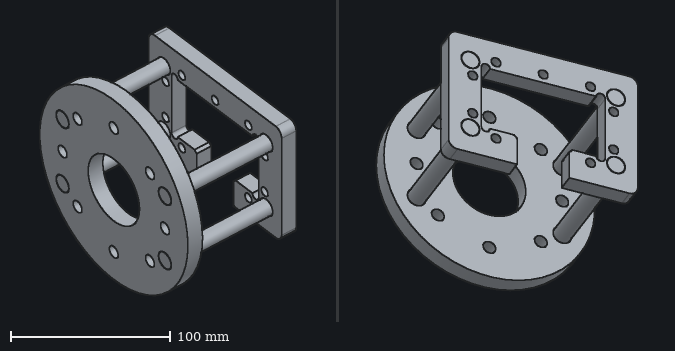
import cadquery as cq
import math

DISC_DIAMETER = 145.0
PLATE_THICKNESS = 12.0
OVERALL_DEPTH = 95.0
FRAME_FRONT_Y = OVERALL_DEPTH - PLATE_THICKNESS

ROD_DIAMETER = 12.0
ROD_HOLE_DIAMETER = 12.6
ROD_X = 50.0
ROD_Z = 26.0
ROD_CENTERS = [(x, z) for x in (-ROD_X, ROD_X) for z in (-ROD_Z, ROD_Z)]

BORE_DIAMETER = 50.0
BOLT_HOLE_DIAMETER = 8.5
BOLT_HOLE_COUNT = 8
BOLT_CIRCLE_RADIUS = 50.0

FRAME_WIDTH = 130.0
FRAME_HEIGHT = 90.0
FRAME_CORNER_RADIUS = 6.0
WINDOW_WIDTH = 85.0
WINDOW_HEIGHT = 46.0
RELIEF_DIAMETER = 6.0
GAP_WIDTH = 36.0
GAP_CHAMFER = 2.0
FRAME_HOLE_DIAMETER = 6.5
RAIL_HOLE_X = 32.5
RAIL_HOLE_Z = 29.3
POST_HOLE_X = 48.5
POST_HOLE_Z = 14.5


def plane_at(y):
    """Sketch plane facing -Y, whose local axes are world X and Z."""
    return cq.Workplane(cq.Plane(origin=(0, y, 0), xDir=(1, 0, 0), normal=(0, -1, 0)))


def cylinders(centers, diameter, y, length):
    """Cylinders that start at y and run along +Y."""
    return plane_at(y).pushPoints(centers).circle(diameter / 2).extrude(-length)


def block(width, height, y, length, z=0.0):
    """Rectangular block centred on X = 0 that runs along +Y."""
    return plane_at(y).center(0, z).rect(width, height).extrude(-length)


def make_disc():
    bolt_centers = []
    for i in range(BOLT_HOLE_COUNT):
        angle = 2 * math.pi * i / BOLT_HOLE_COUNT
        bolt_centers.append((BOLT_CIRCLE_RADIUS * math.cos(angle), BOLT_CIRCLE_RADIUS * math.sin(angle)))
    disc = cylinders([(0, 0)], DISC_DIAMETER, 0, PLATE_THICKNESS)
    disc = disc.cut(cylinders([(0, 0)], BORE_DIAMETER, 0, PLATE_THICKNESS))
    disc = disc.cut(cylinders(bolt_centers, BOLT_HOLE_DIAMETER, 0, PLATE_THICKNESS))
    return disc.cut(cylinders(ROD_CENTERS, ROD_HOLE_DIAMETER, 0, PLATE_THICKNESS))


def make_frame():
    frame = block(FRAME_WIDTH, FRAME_HEIGHT, FRAME_FRONT_Y, PLATE_THICKNESS)
    frame = frame.edges("|Y").fillet(FRAME_CORNER_RADIUS)

    frame = frame.cut(block(WINDOW_WIDTH, WINDOW_HEIGHT, FRAME_FRONT_Y, PLATE_THICKNESS))
    relief_x = (WINDOW_WIDTH - RELIEF_DIAMETER) / 2
    relief_z = WINDOW_HEIGHT / 2
    reliefs = [(x, z) for x in (-relief_x, relief_x) for z in (-relief_z, relief_z)]
    frame = frame.cut(cylinders(reliefs, RELIEF_DIAMETER, FRAME_FRONT_Y, PLATE_THICKNESS))

    gap_height = FRAME_HEIGHT / 2
    frame = frame.cut(block(GAP_WIDTH, gap_height, FRAME_FRONT_Y, PLATE_THICKNESS, -gap_height / 2))

    for side in (-1, 1):
        corner = (side * GAP_WIDTH / 2, FRAME_FRONT_Y + PLATE_THICKNESS / 2, -WINDOW_HEIGHT / 2)
        frame = frame.edges(cq.selectors.NearestToPointSelector(corner)).chamfer(GAP_CHAMFER)

    holes = [(0, RAIL_HOLE_Z)]
    for side in (-1, 1):
        for level in (-1, 1):
            holes.append((side * RAIL_HOLE_X, level * RAIL_HOLE_Z))
            holes.append((side * POST_HOLE_X, level * POST_HOLE_Z))
    frame = frame.cut(cylinders(holes, FRAME_HOLE_DIAMETER, FRAME_FRONT_Y, PLATE_THICKNESS))
    return frame.cut(cylinders(ROD_CENTERS, ROD_HOLE_DIAMETER, FRAME_FRONT_Y, PLATE_THICKNESS))


def make_rod(center):
    return cylinders([center], ROD_DIAMETER, 0, OVERALL_DEPTH)


disc = make_disc()
frame = make_frame()
rods = [make_rod(center) for center in ROD_CENTERS]

result = cq.Compound.makeCompound([disc.val(), frame.val(), *[rod.val() for rod in rods]])